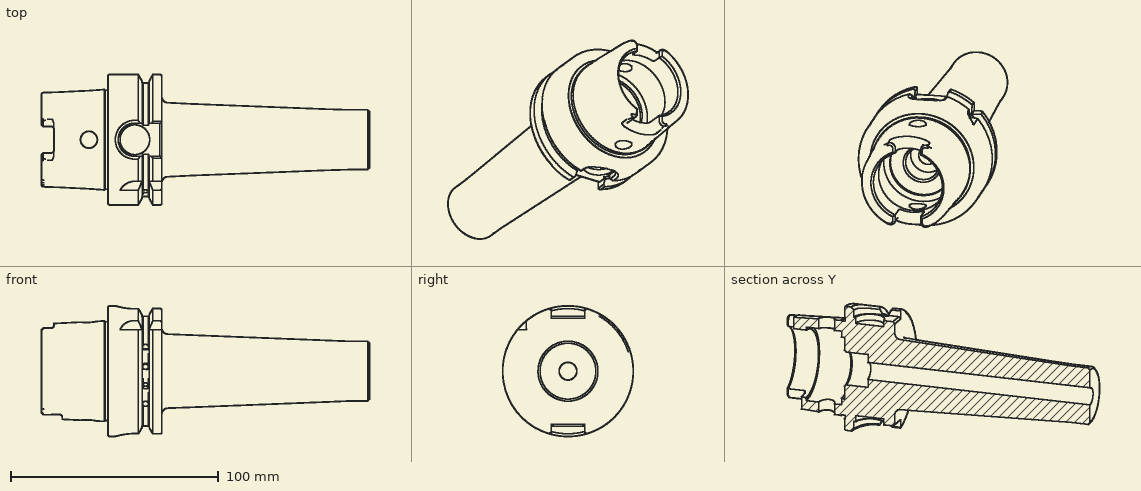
import cadquery as cq
import math


SHANK_LENGTH = 32.0
GAUGE_RADIUS = 24.0
GAUGE_X = -6.3
TAPER_PER_MM = 1 / (2 * 9.98)
SHANK_EDGE_RADIUS = 1.1
MOUTH_CHAMFER = 1.0
UNDERCUT_WIDTH = 1.7
UNDERCUT_RADIUS = 23.9
UNDERCUT_CHAMFER = 0.4
FACE_RECESS_RADIUS = 25.6
FACE_RECESS_DEPTH = 0.3

MOUTH_RADIUS = 17.0
CLAMP_SHOULDER_X = -19.5
CHAMBER_RADIUS = 18.5
BORE_FLOOR_X = 0.0
BORE_FLOOR_STEP = 1.5
BORE_FLOOR_RADIUS = 15.5
COOLANT_RADIUS = 8.2
COOLANT_CHAMFER = 1.0
COOLANT_DEPTH = 12.0
THROUGH_RADIUS = 4.2
CROSS_HOLE_RADIUS = 4.0
CROSS_HOLE_X = -9.1

DRIVE_HALF_WIDTH = 6.27
DRIVE_DEPTH_TOP = 6.0
DRIVE_DEPTH_BOTTOM = 10.0
DRIVE_LIP_RADIUS = 2.5
DRIVE_CORNER_RADIUS = 1.2

FLANGE_RADIUS = 31.5
FLANGE_WIDTH = 26.0
FLANGE_EDGE_RADIUS = 1.0
GROOVE_CENTER_X = 18.15
GROOVE_BOTTOM_WIDTH = 3.4
GROOVE_WALL_RADIUS = 28.3
GROOVE_FLOOR_RADIUS = 27.4
GROOVE_FLOOR_FILLET = 0.5
GROOVE_FLANK_ANGLE = math.radians(30)

KEY_CENTER_X = 13.0
KEY_HALF_WIDTH = 8.0
KEY_FLOOR_Z = 26.5
KEY_CHAMFER_FRONT = 1.4
KEY_CHAMFER_BACK = 1.0
KEY_RECESS_RADIUS = 7.15
KEY_RECESS_DEPTH = 3.0

NOTCH_OFFSET = 20.0
NOTCH_CUTTER_RADIUS = 8.0
NOTCH_CENTER_X = 13.0

BALANCE_ANGLES = (25, 5, -15, -35)
BALANCE_RADIUS = 1.5
BALANCE_DEPTH = 5.0
DRILL_HALF_ANGLE = math.radians(59)

NOSE_END_X = 126.0
NOSE_TIP_RADIUS = 14.45
NOSE_TIP_LENGTH = 10.0
NOSE_ROOT_RADIUS = 18.0
NOSE_TIP_CHAMFER = 1.0
NOSE_ROOT_FILLET = 2.8

MARGIN = 10.0
CLEARANCE = 1.0
TOLERANCE = 0.01


def shank_radius(x):
    return GAUGE_RADIUS + (x - GAUGE_X) * TAPER_PER_MM


def turned(points):
    """Solid of revolution about X from (x, radius) points."""
    return cq.Workplane("XZ").polyline(points).close().revolve(360, (0, 0, 0), (1, 0, 0))


def turned_bar(x_start, x_end, radius):
    return cq.Workplane("YZ").workplane(offset=x_start).circle(radius).extrude(x_end - x_start)


def drive_slot_profile(x, outer):
    """Outline of the +Z drive slot at X = x, flaring over rounded lips onto the outer radius."""
    lip_y = DRIVE_HALF_WIDTH + DRIVE_LIP_RADIUS
    lip_z = math.sqrt((outer - DRIVE_LIP_RADIUS) ** 2 - lip_y**2)
    end_angle = math.atan2(lip_z, lip_y)
    middle_angle = (math.pi + end_angle) / 2

    def on_lip(angle, side):
        y = lip_y + DRIVE_LIP_RADIUS * math.cos(angle)
        return side * y, lip_z + DRIVE_LIP_RADIUS * math.sin(angle)

    top_z = outer + MARGIN
    end_y = on_lip(end_angle, 1)[0]
    return (
        cq.Workplane("YZ", origin=(x, 0, 0))
        .moveTo(-DRIVE_HALF_WIDTH, 0)
        .lineTo(DRIVE_HALF_WIDTH, 0)
        .lineTo(DRIVE_HALF_WIDTH, lip_z)
        .threePointArc(on_lip(middle_angle, 1), on_lip(end_angle, 1))
        .lineTo(end_y, top_z)
        .lineTo(-end_y, top_z)
        .lineTo(*on_lip(end_angle, -1))
        .threePointArc(on_lip(middle_angle, -1), (-DRIVE_HALF_WIDTH, lip_z))
        .close()
    )


def drive_slot(depth):
    """Cutter for the +Z drive slot, with rounded floor corners and a chamfered mouth."""
    outer = shank_radius(-SHANK_LENGTH + depth / 2)
    cutter = drive_slot_profile(-SHANK_LENGTH, outer).extrude(depth)
    cutter = cutter.faces(">X").edges("not |Y").fillet(DRIVE_CORNER_RADIUS)
    mouth = drive_slot_profile(-SHANK_LENGTH + MOUTH_CHAMFER, outer)
    return cutter.union(mouth.extrude(-MOUTH_CHAMFER, taper=-45))


def make_shank():
    end_x = -SHANK_LENGTH
    wall_end_x = -UNDERCUT_WIDTH
    shank = turned([
        (end_x, 0),
        (end_x, shank_radius(end_x)),
        (wall_end_x, shank_radius(wall_end_x)),
        (wall_end_x + UNDERCUT_CHAMFER, UNDERCUT_RADIUS),
        (FACE_RECESS_DEPTH, UNDERCUT_RADIUS),
        (FACE_RECESS_DEPTH, 0),
    ])
    shank = shank.faces("<X").edges().fillet(SHANK_EDGE_RADIUS)
    bore = turned([
        (end_x, 0),
        (end_x, MOUTH_RADIUS + MOUTH_CHAMFER),
        (end_x + MOUTH_CHAMFER, MOUTH_RADIUS),
        (CLAMP_SHOULDER_X, MOUTH_RADIUS),
        (CLAMP_SHOULDER_X, CHAMBER_RADIUS),
        (BORE_FLOOR_X - BORE_FLOOR_STEP, CHAMBER_RADIUS),
        (BORE_FLOOR_X - BORE_FLOOR_STEP, BORE_FLOOR_RADIUS),
        (BORE_FLOOR_X, BORE_FLOOR_RADIUS),
        (BORE_FLOOR_X, 0),
    ])
    shank = shank.cut(bore)
    shank = shank.cut(drive_slot(DRIVE_DEPTH_TOP))
    shank = shank.cut(drive_slot(DRIVE_DEPTH_BOTTOM).rotate((0, 0, 0), (1, 0, 0), 180))
    cross_hole = cq.Workplane("XY").center(CROSS_HOLE_X, 0).circle(CROSS_HOLE_RADIUS)
    return shank.cut(cross_hole.extrude(FLANGE_RADIUS, both=True))


def both_sides(cutter):
    """A cutter together with its copy turned half way round the axis."""
    return cutter.union(cutter.rotate((0, 0, 0), (1, 0, 0), 180))


def keyway():
    """Cutter for the two keyways, round-ended toward the shank and open at the flange back."""
    length = FLANGE_WIDTH + MARGIN - KEY_CENTER_X
    plane = cq.Workplane("XY").workplane(offset=KEY_FLOOR_Z)
    end = plane.center(KEY_CENTER_X, 0).circle(KEY_HALF_WIDTH).extrude(MARGIN)
    run = plane.center(KEY_CENTER_X + length / 2, 0).rect(length, 2 * KEY_HALF_WIDTH).extrude(MARGIN)
    return both_sides(end.union(run))


def chamfer_keyway_rim(collar, size):
    """Chamfer the edges where the keyway walls meet the outer surface of a collar."""
    rim = []
    for edge in collar.edges().vals():
        middle = edge.positionAt(0.5)
        radius = math.hypot(middle.y, middle.z)
        if abs(radius - FLANGE_RADIUS) < TOLERANCE and abs(middle.y) < KEY_HALF_WIDTH + TOLERANCE:
            rim.append(edge)
    return collar.newObject(rim).chamfer(size)


def groove():
    """V-flanked gripper groove with a straight-walled floor channel."""
    half = GROOVE_BOTTOM_WIDTH / 2
    rim = FLANGE_RADIUS + CLEARANCE
    half_rim = half + (rim - GROOVE_WALL_RADIUS) * math.tan(GROOVE_FLANK_ANGLE)
    x = GROOVE_CENTER_X
    cutter = turned([
        (x - half_rim, rim),
        (x - half, GROOVE_WALL_RADIUS),
        (x - half, GROOVE_FLOOR_RADIUS),
        (x + half, GROOVE_FLOOR_RADIUS),
        (x + half, GROOVE_WALL_RADIUS),
        (x + half_rim, rim),
    ])
    return cutter.edges(cq.selectors.RadiusNthSelector(0)).fillet(GROOVE_FLOOR_FILLET)


def notch():
    """Orientation notch cutter: flat floor and wall, with a cutter-radius run-out."""
    run_length = FLANGE_WIDTH - NOTCH_CENTER_X + MARGIN
    width = 2 * NOTCH_CUTTER_RADIUS
    wall_plane = cq.Workplane("XY", origin=(NOTCH_CENTER_X, -NOTCH_OFFSET, NOTCH_OFFSET))
    run = wall_plane.rect(run_length, -width, centered=False).extrude(MARGIN)
    end = wall_plane.center(0, -NOTCH_CUTTER_RADIUS).circle(NOTCH_CUTTER_RADIUS).extrude(MARGIN)
    return run.union(end)


def balance_hole(angle):
    """Drilled hole with a conical tip, pointing to -Y and turned about X toward +Z by the angle."""
    mouth_y = -GROOVE_FLOOR_RADIUS - CLEARANCE
    floor_y = -GROOVE_FLOOR_RADIUS + BALANCE_DEPTH
    tip_y = floor_y + BALANCE_RADIUS / math.tan(DRILL_HALF_ANGLE)
    edge_x = GROOVE_CENTER_X + BALANCE_RADIUS
    section = [(GROOVE_CENTER_X, mouth_y), (edge_x, mouth_y), (edge_x, floor_y), (GROOVE_CENTER_X, tip_y)]
    hole = (
        cq.Workplane("XY")
        .polyline(section)
        .close()
        .revolve(360, (GROOVE_CENTER_X, 0, 0), (GROOVE_CENTER_X, 1, 0))
    )
    return hole.rotate((0, 0, 0), (1, 0, 0), -angle)


def make_flange():
    keys = keyway()
    front = turned_bar(0, GROOVE_CENTER_X, FLANGE_RADIUS).cut(keys)
    front = chamfer_keyway_rim(front, KEY_CHAMFER_FRONT)
    back = turned_bar(GROOVE_CENTER_X, FLANGE_WIDTH, FLANGE_RADIUS).cut(keys)
    back = chamfer_keyway_rim(back, KEY_CHAMFER_BACK)
    back = back.faces(">X").edges("|Y").chamfer(KEY_CHAMFER_BACK)
    envelope = turned_bar(0, FLANGE_WIDTH, FLANGE_RADIUS).edges().fillet(FLANGE_EDGE_RADIUS)
    flange = front.union(back).intersect(envelope).cut(groove()).cut(notch())
    recess = (
        cq.Workplane("XY")
        .workplane(offset=KEY_FLOOR_Z - KEY_RECESS_DEPTH)
        .center(KEY_CENTER_X, 0)
        .circle(KEY_RECESS_RADIUS)
        .extrude(MARGIN)
    )
    flange = flange.cut(both_sides(recess))
    flange = flange.cut(turned_bar(0, FACE_RECESS_DEPTH, FACE_RECESS_RADIUS))
    for angle in BALANCE_ANGLES:
        flange = flange.cut(balance_hole(angle))
    return flange


def make_nose():
    tip_start = NOSE_END_X - NOSE_TIP_LENGTH
    return turned([
        (FLANGE_WIDTH, 0),
        (FLANGE_WIDTH, NOSE_ROOT_RADIUS),
        (tip_start, NOSE_TIP_RADIUS),
        (NOSE_END_X - NOSE_TIP_CHAMFER, NOSE_TIP_RADIUS),
        (NOSE_END_X, NOSE_TIP_RADIUS - NOSE_TIP_CHAMFER),
        (NOSE_END_X, 0),
    ])


def coolant_bore():
    """Chamfered coolant-tube seat continuing as a through bore."""
    seat_end = BORE_FLOOR_X + COOLANT_DEPTH
    return turned([
        (BORE_FLOOR_X, 0),
        (BORE_FLOOR_X, COOLANT_RADIUS + COOLANT_CHAMFER),
        (BORE_FLOOR_X + COOLANT_CHAMFER, COOLANT_RADIUS),
        (seat_end, COOLANT_RADIUS),
        (seat_end, THROUGH_RADIUS),
        (NOSE_END_X, THROUGH_RADIUS),
        (NOSE_END_X, 0),
    ])


def fillet_nose_root(body):
    """Blend the nose into the back face of the flange."""
    reach = NOSE_ROOT_RADIUS + CLEARANCE
    low = (FLANGE_WIDTH - TOLERANCE, -reach, -reach)
    high = (FLANGE_WIDTH + TOLERANCE, reach, reach)
    root = cq.selectors.BoxSelector(low, high, boundingbox=True)
    return body.edges(root).fillet(NOSE_ROOT_FILLET)


body = fillet_nose_root(make_flange().union(make_nose()))
result = body.union(make_shank()).cut(coolant_bore())